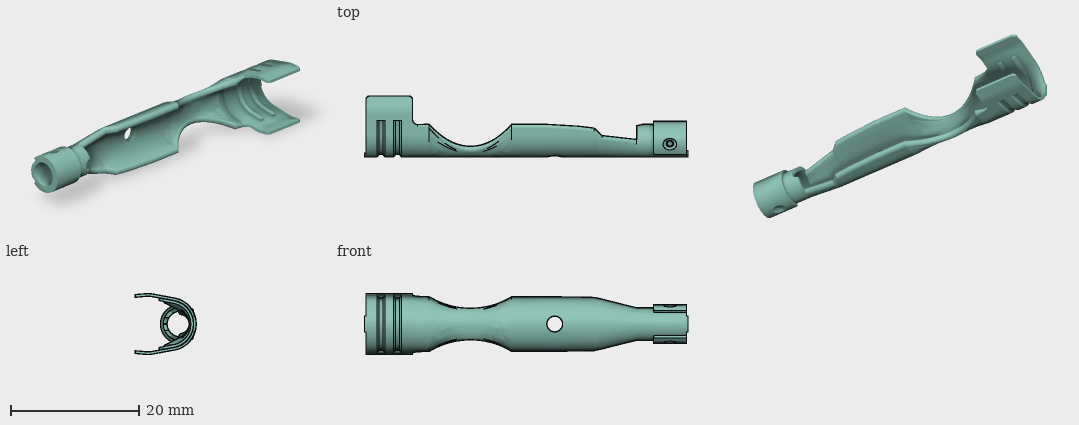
import cadquery as cq
import math


LENGTH = 50.55
WING_HEIGHT = 9.55
HALF_WIDTH = 4.775
END_TAB = 0.2
END_TAB_WIDTH = 2.55
BODY_START = END_TAB
BODY_END = LENGTH - END_TAB

SHEET = 0.45
CHANNEL_RADIUS = 4.15
FLARE = 10.5
LEG_ANGLE = 90 - FLARE
WING_BEND_HEIGHT = 6.8
WING_LEAN = 5.0
WING_END = 7.55
WING_CORNER = 0.6
SHOULDER_FILLET = 0.7
SHOULDER_ARC_RADIUS = 0.75
GRIP_END = 8.3
RIM_AT_GRIP = 5.1

THICK_WALL = 1.1
RIM = 5.15
MIDDLE_START = 10.1
NECK = 16.6
NECK_RADIUS = 3.95
NECK_ANGLE = 33.0
NECK_RIM = 1.7
BARREL_START = 23.0
BARREL_END = 28.3
SLOPE_BREAK = 33.35
RIM_AT_BREAK = 4.85
SLOPE_END = 35.9
RIM_AT_SLOPE_END = 4.55
TAPER_START = 37.1
TAPER_ANGLE = 66.0
TAPER_RIM = 3.4
SIGHT_HOLE_X = 29.7
SIGHT_HOLE_DIAMETER = 2.45

PIN_START = 42.5
PIN_RADIUS = 2.6
PIN_WALL = 0.6
PIN_ENTRY_ANGLE = 78.0
PIN_ENTRY_RIM = 2.8
SEAM_GAP = 0.05
SEAM_CORNER = 0.95

CLIP_START = 45.1
CLIP_WALL = 0.45
CLIP_RADIUS = PIN_RADIUS + CLIP_WALL
CLIP_OPEN_HALF_ANGLE = 45.0
CLIP_CORNER = 0.25
DIMPLE_X = 47.7
DIMPLE_TILT = 11.0
DIMPLE_MOUTH_RADIUS = 1.05
DIMPLE_FLOOR_RADIUS = 0.4
DIMPLE_DEPTH = 0.6

BEAD_POSITIONS = (2.6, 5.15)
SLOT_MOUTH_WIDTH = 1.2
BEAD_WIDTH = 0.65
BEAD_DEPTH = 0.38
BEAD_INNER_DEPTH = 0.85
BEAD_TOP = 5.7

MARGIN = 0.5


def on_arc(radius, depth, angle):
    """Point (y, z) at an angle from the bottom of a floor arc, a depth inside its outer face."""
    reach = radius - depth
    slant = math.radians(angle)
    return radius - reach * math.cos(slant), reach * math.sin(slant)


def along(point, angle, distance):
    """Point moved along the leg that leaves the floor arc at the given angle."""
    slant = math.radians(angle)
    return point[0] + distance * math.sin(slant), point[1] + distance * math.cos(slant)


def mirrored(point):
    return point[0], -point[1]


def cross_section(x):
    """Workplane across the part, whose local axes are global Y and Z."""
    return cq.Workplane("YZ", origin=(x, 0, 0))


def channel_section(x, radius, angle, rim, wall):
    """Wire of a U-shaped section: floor arc, straight legs and half-round rims."""
    slant = math.radians(angle)
    mid_arc_end = on_arc(radius, wall / 2, angle)
    leg = (rim - wall / 2 - mid_arc_end[0]) / math.sin(slant)
    outer = on_arc(radius, 0, angle)
    inner = on_arc(radius, wall, angle)
    outer_tip = along(outer, angle, leg)
    inner_tip = along(inner, angle, leg)
    cap = along(mid_arc_end, angle, leg + wall / 2)
    return (
        cross_section(x)
        .moveTo(*mirrored(outer))
        .threePointArc((0, 0), outer)
        .lineTo(*outer_tip)
        .threePointArc(cap, inner_tip)
        .lineTo(*inner)
        .threePointArc((wall, 0), mirrored(inner))
        .lineTo(*mirrored(inner_tip))
        .threePointArc(mirrored(cap), mirrored(outer_tip))
        .close()
        .val()
    )


def channel(*sections):
    return cq.Workplane(cq.Solid.makeLoft([channel_section(*section) for section in sections]))


def tube(start, end, radius, wall, axis_height):
    """Round tube along X, with its axis at the given height above the floor."""
    return (
        cross_section(start)
        .center(axis_height, 0)
        .circle(radius)
        .circle(radius - wall)
        .extrude(end - start)
    )


def end_tab_block(x):
    """Block that leaves a carrier tab, one tab length long from x, on a curved floor."""
    return cross_section(x).rect(CHANNEL_RADIUS, END_TAB_WIDTH).extrude(END_TAB)


def grip():
    lean = math.radians(FLARE)
    tip_lean = math.radians(WING_LEAN)
    leg_start = on_arc(CHANNEL_RADIUS, 0, LEG_ANGLE)
    leg = (WING_BEND_HEIGHT - leg_start[0]) / math.cos(lean)
    bend = along(leg_start, LEG_ANGLE, leg)
    bend_radius = (HALF_WIDTH - bend[1]) / (1 - math.cos(lean))
    bend_y = bend[0] + bend_radius * math.sin(lean)
    bend_z = HALF_WIDTH - bend_radius

    def wing_half(depth):
        """Arc end, bend start, bend crest, bend end and tip of the face at a depth in the sheet."""
        reach = bend_radius - depth
        bend_end_y = bend_y + reach * math.sin(tip_lean)
        bend_end_z = bend_z + reach * math.cos(tip_lean)
        tip_z = bend_end_z - (WING_HEIGHT - bend_end_y) * math.tan(tip_lean)
        return (
            on_arc(CHANNEL_RADIUS, depth, LEG_ANGLE),
            (bend_y - reach * math.sin(lean), bend_z + reach * math.cos(lean)),
            (bend_y, bend_z + reach),
            (bend_end_y, bend_end_z),
            (WING_HEIGHT, tip_z),
        )

    outer = wing_half(0)
    inner = wing_half(SHEET)
    sheet = (
        cross_section(0)
        .moveTo(*mirrored(outer[0]))
        .threePointArc((0, 0), outer[0])
        .lineTo(*outer[1])
        .threePointArc(outer[2], outer[3])
        .lineTo(*outer[4])
        .lineTo(*inner[4])
        .lineTo(*inner[3])
        .threePointArc(inner[2], inner[1])
        .lineTo(*inner[0])
        .threePointArc((SHEET, 0), mirrored(inner[0]))
        .lineTo(*mirrored(inner[1]))
        .threePointArc(mirrored(inner[2]), mirrored(inner[3]))
        .lineTo(*mirrored(inner[4]))
        .lineTo(*mirrored(outer[4]))
        .lineTo(*mirrored(outer[3]))
        .threePointArc(mirrored(outer[2]), mirrored(outer[1]))
        .close()
        .extrude(GRIP_END)
    )
    side_outline = (
        cq.Workplane("XY")
        .moveTo(BODY_START, -MARGIN)
        .lineTo(GRIP_END, -MARGIN)
        .lineTo(GRIP_END, RIM_AT_GRIP)
        .radiusArc((WING_END, RIM_AT_GRIP + SHOULDER_FILLET), SHOULDER_ARC_RADIUS)
        .lineTo(WING_END, WING_HEIGHT)
        .lineTo(BODY_START, WING_HEIGHT)
        .close()
        .extrude(HALF_WIDTH + MARGIN, both=True)
        .edges("|Z and >Y")
        .fillet(WING_CORNER)
    )
    return sheet.intersect(side_outline.union(end_tab_block(0)))


def sweep_around_grip(x, section):
    """Sweep a section of (offset along X, depth below the outer face) around the grip channel."""
    arc_end = on_arc(CHANNEL_RADIUS, 0, LEG_ANGLE)
    leg = (BEAD_TOP - arc_end[0]) / math.sin(math.radians(LEG_ANGLE))
    top = along(arc_end, LEG_ANGLE, leg)
    path = (
        cross_section(x)
        .moveTo(*mirrored(top))
        .lineTo(*mirrored(arc_end))
        .threePointArc((0, 0), arc_end)
        .lineTo(*top)
    )
    lean = math.radians(FLARE)
    start = cq.Plane(
        origin=(x, top[0], -top[1]), xDir=(1, 0, 0), normal=(0, -math.cos(lean), math.sin(lean))
    )
    return cq.Workplane(start).polyline(section).close().sweep(path)


def bead_slot(x):
    half_mouth = SLOT_MOUTH_WIDTH / 2
    half_bead = BEAD_WIDTH / 2
    return sweep_around_grip(
        x,
        [
            (-half_mouth, -MARGIN),
            (half_mouth, -MARGIN),
            (half_mouth, 0),
            (half_bead, BEAD_DEPTH),
            (half_bead, BEAD_INNER_DEPTH),
            (-half_bead, BEAD_INNER_DEPTH),
            (-half_bead, BEAD_DEPTH),
            (-half_mouth, 0),
        ],
    )


def grip_bead(x):
    half_bead = BEAD_WIDTH / 2
    return sweep_around_grip(
        x,
        [
            (-half_bead, BEAD_DEPTH),
            (half_bead, BEAD_DEPTH),
            (half_bead, BEAD_INNER_DEPTH),
            (-half_bead, BEAD_INNER_DEPTH),
        ],
    )


def middle():
    """Thick-walled channel from the grip, through the neck and the barrel, to the pin."""
    grip_side = (GRIP_END, CHANNEL_RADIUS, LEG_ANGLE, RIM_AT_GRIP, SHEET)
    neck_start = (MIDDLE_START, CHANNEL_RADIUS, LEG_ANGLE, RIM, THICK_WALL)
    neck = (NECK, NECK_RADIUS, NECK_ANGLE, NECK_RIM, THICK_WALL)
    barrel_start = (BARREL_START, CHANNEL_RADIUS, LEG_ANGLE, RIM, THICK_WALL)
    barrel_end = (BARREL_END, CHANNEL_RADIUS, LEG_ANGLE, RIM, THICK_WALL)
    slope_break = (SLOPE_BREAK, CHANNEL_RADIUS, LEG_ANGLE, RIM_AT_BREAK, THICK_WALL)
    slope_end = (SLOPE_END, CHANNEL_RADIUS, LEG_ANGLE, RIM_AT_SLOPE_END, THICK_WALL)
    taper_start = (TAPER_START, CHANNEL_RADIUS, TAPER_ANGLE, TAPER_RIM, THICK_WALL)
    pin_side = (PIN_START, PIN_RADIUS, PIN_ENTRY_ANGLE, PIN_ENTRY_RIM, THICK_WALL)
    return (
        channel(grip_side, neck_start)
        .union(channel(neck_start, neck, barrel_start))
        .union(channel(barrel_start, barrel_end))
        .union(channel(barrel_end, slope_break))
        .union(channel(slope_break, slope_end))
        .union(channel(slope_end, taper_start))
        .union(channel(taper_start, pin_side))
    )


def sight_hole():
    return (
        cq.Workplane("XZ", origin=(SIGHT_HOLE_X, -MARGIN, 0))
        .circle(SIGHT_HOLE_DIAMETER / 2)
        .extrude(-(CHANNEL_RADIUS + MARGIN))
    )


def seam():
    """Slit along the top of the pin, flaring with rounded corners at the pin's start."""
    half_gap = SEAM_GAP / 2
    half_mouth = half_gap + SEAM_CORNER
    corner_end = PIN_START + SEAM_CORNER
    return (
        cq.Workplane("XZ", origin=(0, PIN_RADIUS, 0))
        .moveTo(PIN_START, half_mouth)
        .radiusArc((corner_end, half_gap), SEAM_CORNER)
        .lineTo(LENGTH, half_gap)
        .lineTo(LENGTH, -half_gap)
        .lineTo(corner_end, -half_gap)
        .radiusArc((PIN_START, -half_mouth), SEAM_CORNER)
        .close()
        .extrude(-(PIN_RADIUS + MARGIN))
    )


def dimples():
    """Conical dents on both sides of the clip, reaching through it into the pin."""
    taper = (DIMPLE_MOUTH_RADIUS - DIMPLE_FLOOR_RADIUS) / DIMPLE_DEPTH
    top_radius = DIMPLE_MOUTH_RADIUS + taper * MARGIN
    lean = math.radians(DIMPLE_TILT)
    floor_distance = CLIP_RADIUS - DIMPLE_DEPTH
    cones = cq.Workplane()
    for side in (1, -1):
        outward = cq.Vector(0, -math.sin(lean), side * math.cos(lean))
        floor = cq.Vector(DIMPLE_X, PIN_RADIUS, 0) + outward * floor_distance
        cones = cones.add(
            cq.Solid.makeCone(DIMPLE_FLOOR_RADIUS, top_radius, DIMPLE_DEPTH + MARGIN, floor, outward)
        )
    return cones.combine()


def pin():
    """Rolled tube with a carrier tab on its end and the dents of the clip in its sides."""
    outline = cross_section(PIN_START).rect(4 * PIN_RADIUS, 4 * PIN_RADIUS).extrude(BODY_END - PIN_START)
    outline = outline.union(end_tab_block(BODY_END))
    rolled = tube(PIN_START, LENGTH, PIN_RADIUS, PIN_WALL, PIN_RADIUS)
    return rolled.intersect(outline).cut(seam()).cut(dimples())


def make_terminal():
    slotted_grip = grip()
    for x in BEAD_POSITIONS:
        slotted_grip = slotted_grip.cut(bead_slot(x))
    return slotted_grip.union(middle().cut(sight_hole())).union(pin())


def make_clip():
    """Sleeve around the pin, open towards the floor, with rounded lower corners at its start."""
    opening = math.radians(CLIP_OPEN_HALF_ANGLE)
    reach = 2 * CLIP_RADIUS
    wedge = (
        cross_section(CLIP_START)
        .moveTo(PIN_RADIUS, 0)
        .lineTo(PIN_RADIUS - reach * math.cos(opening), reach * math.sin(opening))
        .lineTo(PIN_RADIUS - reach * math.cos(opening), -reach * math.sin(opening))
        .close()
        .extrude(BODY_END - CLIP_START)
    )
    sleeve = tube(CLIP_START, BODY_END, CLIP_RADIUS, CLIP_WALL, PIN_RADIUS).cut(wedge)
    corners = cq.selectors.BoxSelector(
        (CLIP_START - MARGIN, -MARGIN, -CLIP_RADIUS), (CLIP_START + MARGIN, PIN_RADIUS / 2, CLIP_RADIUS)
    )
    return sleeve.edges("<X").edges("%LINE").edges(corners).fillet(CLIP_CORNER).cut(dimples())


terminal = make_terminal()
clip = make_clip()
beads = [grip_bead(x) for x in BEAD_POSITIONS]

result = cq.Compound.makeCompound(
    [*terminal.solids().vals(), *clip.solids().vals(), *[bead.val() for bead in beads]]
)